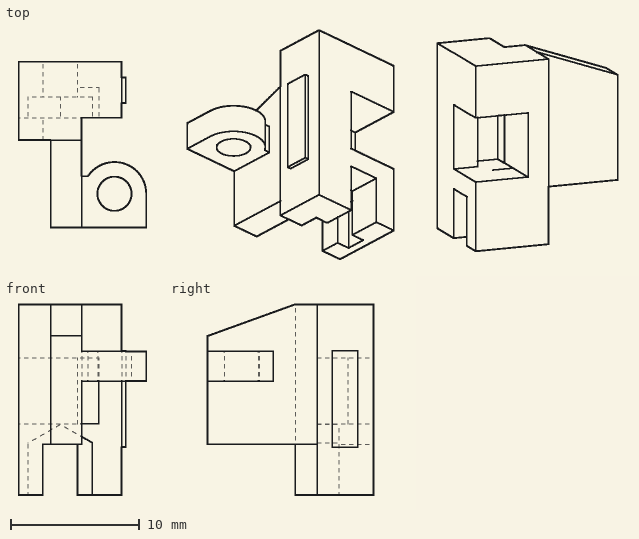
import cadquery as cq
import math

height = 14.8
block_width = 7.99
block_depth = 6.08
step_depth = 4.37
step_y = block_depth - step_depth

rib_left = 2.47
rib_right = 4.88
rib_length = 6.8
rib_drop = 2.45
rib_bottom = 3.94

lug_bottom = 8.84
lug_top = 11.15
lug_radius = 2.47
lug_x = 7.43
lug_hole_setback = 2.63
lug_shoulder_setback = 4.0
lug_y = lug_hole_setback - rib_length
lug_shoulder_y = lug_shoulder_setback - rib_length
hole_diameter = 2.63

notch_bottom = 5.54
notch_top = 10.65
notch_back_reach = 4.56
notch_front_reach = 6.22
notch_back_length = 2.0
notch_step_y = block_depth - notch_back_length

slot_left = 1.88
slot_right = 4.56
slot_center = (slot_left + slot_right) / 2
trap_half_width = 2.5
trap_shoulder_z = 4.05
hex_slope = math.radians(30)
trap_apex_z = trap_shoulder_z + trap_half_width * math.tan(hex_slope)
trap_back_y = 3.37

pad_thickness = 0.33
pad_width = 2.0
pad_setback = 1.21
pad_back_y = block_depth - pad_setback
pad_front_y = pad_back_y - pad_width
pad_bottom = 3.71
pad_top = 11.19


def box(x0, x1, y0, y1, z0, z1):
    """Axis-aligned box between the given limits."""
    return cq.Workplane("XY").box(x1 - x0, y1 - y0, z1 - z0, centered=False).translate((x0, y0, z0))


def make_block():
    left = box(0, rib_right, 0, block_depth, 0, height)
    right = box(0, block_width, step_y, block_depth, 0, height)
    return left.union(right)


def make_rib():
    profile = [
        (0, rib_bottom),
        (-rib_length, rib_bottom),
        (-rib_length, height - rib_drop),
        (0, height),
    ]
    plane = cq.Workplane("YZ").workplane(offset=rib_left)
    return plane.polyline(profile).close().extrude(rib_right - rib_left)


def make_lug():
    thickness = lug_top - lug_bottom
    plane = cq.Workplane("XY").workplane(offset=lug_bottom)
    round_end = plane.center(lug_x, lug_y).circle(lug_radius).extrude(thickness)
    arm = box(rib_left, lug_x, -rib_length, lug_shoulder_y, lug_bottom, lug_top)
    corner = box(lug_x, lug_x + lug_radius, -rib_length, lug_y, lug_bottom, lug_top)
    hole = plane.center(lug_x, lug_y).circle(hole_diameter / 2).extrude(thickness)
    return round_end.union(arm).union(corner).cut(hole)


def make_notch():
    back = box(0, notch_back_reach, step_y, block_depth, notch_bottom, notch_top)
    front = box(0, notch_front_reach, step_y, notch_step_y, notch_bottom, notch_top)
    return back.union(front)


def make_bolt_slot():
    front = box(slot_left, rib_right, 0, step_y, 0, rib_bottom)
    through = box(slot_left, slot_right, 0, block_depth, 0, rib_bottom)
    return front.union(through)


def make_nut_trap():
    left = slot_center - trap_half_width
    right = slot_center + trap_half_width
    profile = [
        (left, 0),
        (right, 0),
        (right, trap_shoulder_z),
        (slot_center, trap_apex_z),
        (left, trap_shoulder_z),
    ]
    trap = cq.Workplane("XZ").polyline(profile).close().extrude(step_y - trap_back_y)
    return trap.translate((0, step_y, 0))


pad = box(block_width, block_width + pad_thickness, pad_front_y, pad_back_y, pad_bottom, pad_top)
body = make_block().cut(make_notch()).cut(make_bolt_slot()).cut(make_nut_trap())
result = body.union(make_rib()).union(make_lug()).union(pad)